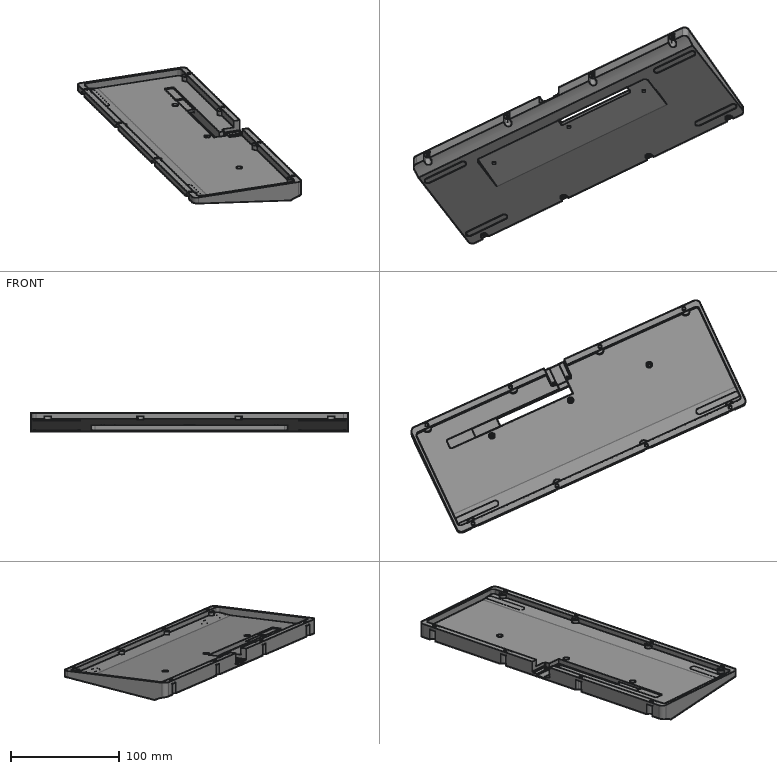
import cadquery as cq

length = 292.5
width = 108.0
height = 17.3
corner_radius = 4.5
front_y = -width / 2
back_y = width / 2

front_height = 5.5
back_height = 13.5
heel_y = 42.0
grip_mid_y = 47.7
grip_mid_z = -15.0
slope = (height - front_height) / (heel_y - front_y)

side_wall = 3.0
end_wall = 5.8
cavity_radius = 3.0
floor_z = -6.5
ramp_back_y = -34.2

rim_hole_diameter = 3.0
rim_hole_xs = (-130.5, -45.3, 45.3, 130.5)
rim_hole_y = back_y - end_wall / 2
counterbore_radius = 3.2
counterbore_top_z = -3.2

boss_radius = 3.8
boss_y = 48.8
boss_top_z = -2.0
boss_xs = (-131.0, -44.0, 44.0, 131.0)

recess_length = 181.3
recess_ceiling_z = -11.5
recess_radius = 3.5

plate_hole_pitch = 79.8
plate_hole_y = 17.5
plate_hole_diameter = 3.0
countersink_diameter = 5.5
countersink_angle = 90

foot_length = 43.3
foot_width = 5.8
foot_x = 122.2
foot_ys = (-41.5, 34.0)
foot_depth = 0.5

slot_front_y = 22.5
slot_back_y = 31.5
slot_left_x = -119.5
slot_step_x = -94.0
slot_through_x = -68.7
slot_shallow_depth = 1.2
slot_deep_depth = 2.3
slot_radius = 1.5

bay_width = 20.5
bay_front_y = 37.0
bay_floor_z = -10.0
bay_radius = 1.5
bay_inner_width = 18.5
bay_inner_front_y = 36.3
pad_z = -10.8
channel_width = 9.7
channel_rear_z = -12.3
channel_front_z = -11.0
pin_diameter = 1.6
pin_x = 7.0
pin_y = 39.2
pin_height = 1.0


def underside_z(y):
    """Height of the sloping underside at y."""
    return -front_height - slope * (y - front_y)


def box(x0, x1, y0, y1, z0, z1):
    """Box between opposite corners."""
    return cq.Workplane("XY").box(x1 - x0, y1 - y0, z1 - z0, centered=False).translate((x0, y0, z0))


def cylinder(x, y, radius, z0, z1):
    """Upright cylinder between two heights."""
    return cq.Workplane("XY", origin=(x, y, z0)).circle(radius).extrude(z1 - z0)


def wedge_body():
    """Solid outer shape with rounded vertical corners."""
    profile = (
        cq.Workplane("YZ", origin=(-length / 2, 0, 0))
        .moveTo(front_y, 0)
        .lineTo(front_y, -front_height)
        .lineTo(heel_y, -height)
        .threePointArc((grip_mid_y, grip_mid_z), (back_y, -back_height))
        .lineTo(back_y, 0)
        .close()
        .extrude(length)
    )
    outline = box(-length / 2, length / 2, front_y, back_y, -height, 0).edges("|Z").fillet(corner_radius)
    return profile.intersect(outline)


def cavity():
    """Flat-floored cavity whose front strip rises parallel to the underside."""
    half_x = length / 2 - side_wall
    half_y = width / 2 - end_wall
    ramp_rise = slope * (ramp_back_y + half_y)
    side = (
        cq.Workplane("YZ", origin=(-half_x, 0, 0))
        .polyline(
            [
                (-half_y, 0),
                (-half_y, floor_z + ramp_rise),
                (ramp_back_y, floor_z),
                (half_y, floor_z),
                (half_y, 0),
            ]
        )
        .close()
        .extrude(2 * half_x)
    )
    return side.edges("|Z").fillet(cavity_radius)


def foot_recess(x, y):
    """Shallow obround pocket square to the sloping underside."""
    plane = cq.Plane(origin=(x, y, underside_z(y)), xDir=(1, 0, 0), normal=(0, slope, 1))
    return cq.Workplane(plane).slot2D(foot_length, foot_width).extrude(foot_depth)


def counterbore(x, side):
    """Screw-head pocket open to the outside; side is -1 (front) or 1 (back)."""
    y = side * rim_hole_y
    low_y, high_y = sorted((y, side * back_y))
    left_x = x - counterbore_radius
    right_x = x + counterbore_radius
    opening = box(left_x, right_x, low_y, high_y, -height, counterbore_top_z)
    return opening.union(cylinder(x, y, counterbore_radius, -height, counterbore_top_z))


def underside_recess():
    """Level-ceilinged recess that runs out through the slope at the front."""
    half = recess_length / 2
    block = box(-half, half, front_y, slot_back_y, -height, recess_ceiling_z)
    return block.edges("|Z and >Y").fillet(recess_radius)


def cable_slot():
    """Slot with two blind steps on the left and a through opening on the right."""
    right_x = channel_width / 2
    steps = (
        (slot_left_x, floor_z - slot_shallow_depth),
        (slot_step_x, floor_z - slot_deep_depth),
        (slot_through_x, -height),
    )
    cut = cq.Workplane("XY")
    for left_x, bottom_z in steps:
        step = box(left_x, right_x, slot_front_y, slot_back_y, bottom_z, 0)
        cut = cut.union(step.edges("|Z and <X").fillet(slot_radius))
    return cut


def connector_bay():
    """Stepped gap in the back wall and the cable channel leading to the slot."""
    half_channel = channel_width / 2
    cut = box(-bay_width / 2, bay_width / 2, bay_front_y, back_y, bay_floor_z, 0)
    cut = cut.edges("|Z and <Y").fillet(bay_radius)
    cut = cut.union(box(-bay_inner_width / 2, bay_inner_width / 2, bay_inner_front_y, back_y, pad_z, 0))
    cut = cut.union(box(-half_channel, half_channel, bay_inner_front_y, back_y, channel_rear_z, 0))
    return cut.union(box(-half_channel, half_channel, slot_back_y, bay_inner_front_y, channel_front_z, 0))


body = wedge_body()
result = body.cut(cavity())

for y in (-boss_y, boss_y):
    for x in boss_xs:
        boss = cylinder(x, y, boss_radius, -height, boss_top_z)
        result = result.union(boss.intersect(body))

for side in (-1, 1):
    for x in rim_hole_xs:
        result = result.cut(counterbore(x, side))
        result = result.cut(cylinder(x, side * rim_hole_y, rim_hole_diameter / 2, -height, 0))

for x in (-foot_x, foot_x):
    for y in foot_ys:
        result = result.cut(foot_recess(x, y))

result = result.cut(underside_recess()).cut(cable_slot()).cut(connector_bay())

result = (
    result.copyWorkplane(cq.Workplane("XY", origin=(0, 0, floor_z)))
    .pushPoints([(i * plate_hole_pitch, plate_hole_y) for i in (-1, 0, 1)])
    .cskHole(plate_hole_diameter, countersink_diameter, countersink_angle)
)

for x in (-pin_x, pin_x):
    result = result.union(cylinder(x, pin_y, pin_diameter / 2, pad_z, pad_z + pin_height))